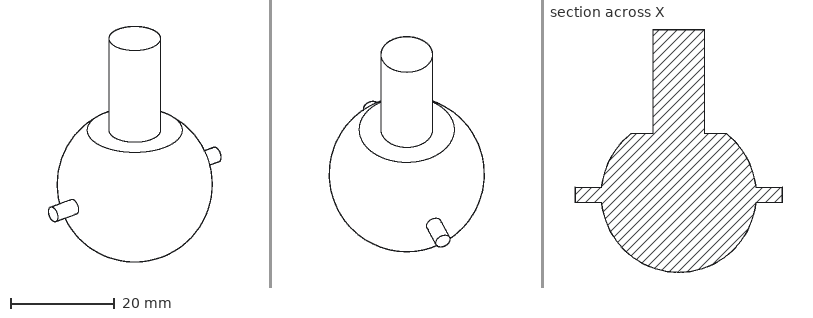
import cadquery as cq

total_height = 46.9
ball_radius = 15.0
shaft_diameter = 10.0
shaft_length = 20.0
pin_diameter = 3.0
pin_span = 40.0

shaft_top = total_height - ball_radius
flat_height = shaft_top - shaft_length


def truncated_ball():
    """Ball with its top cap cut off at the shaft seat."""
    ball = cq.Workplane("XY").sphere(ball_radius)
    cap = (
        cq.Workplane("XY")
        .workplane(offset=flat_height)
        .rect(2 * ball_radius, 2 * ball_radius)
        .extrude(ball_radius)
    )
    return ball.cut(cap)


def shaft():
    """Upright shaft running from the ball centre to the top of the part."""
    return cq.Workplane("XY").circle(shaft_diameter / 2).extrude(shaft_top)


def cross_pin():
    """Pin along Y through the ball centre, protruding equally on both sides."""
    return cq.Workplane("XZ").circle(pin_diameter / 2).extrude(pin_span / 2, both=True)


result = truncated_ball().union(shaft()).union(cross_pin())